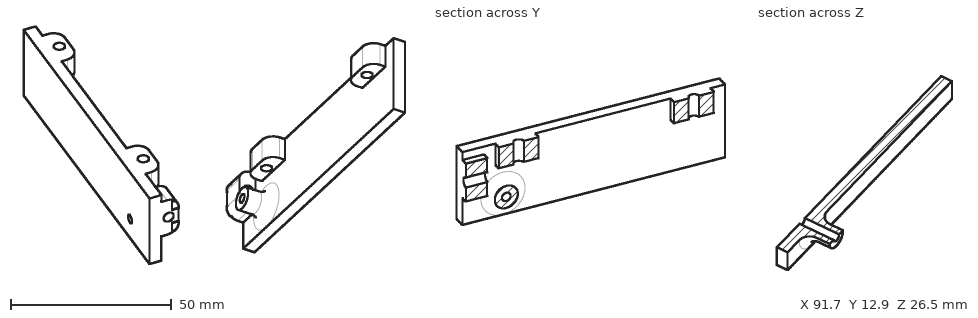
import cadquery as cq

plate_length = 91.4
plate_thickness = 4.1
plate_height = 26.5

lug_width = 13.9
lug_reach = 10.0
lug_depth = 7.8
lug_corner_radius = 3.9
lug_hole_diameter = 3.5
lug_hole_y = 6.6
top_lug_centers_x = (12.0, 73.0)
side_lug_center_z = 16.7
side_lug_end_x = 91.7

pad_thickness = side_lug_end_x - plate_length
pad_start_y = 7.7
pad_height = 3.3
pad_offset_z = 4.3

boss_diameter = 7.5
boss_end_y = 12.9
boss_flare_radius = 3.9
boss_hole_diameter = 2.8
boss_x = 77.3
boss_z = boss_diameter / 2 + boss_flare_radius


def make_lug():
    """Lug centred on X = 0, rounded at its free corners, extending down from Z = 0."""
    block = (
        cq.Workplane("XY")
        .box(lug_width, lug_reach, lug_depth, centered=(True, False, False))
        .faces(">Y").edges("|Z").fillet(lug_corner_radius)
    )
    hole = cq.Workplane("XY").center(0, lug_hole_y).circle(lug_hole_diameter / 2).extrude(lug_depth)
    return block.cut(hole).translate((0, 0, -lug_depth))


def make_boss():
    """Boss turned about the Y axis, flaring out to meet the back of the plate."""
    radius = boss_diameter / 2
    flare_center_x = radius + boss_flare_radius
    flare_top_y = plate_thickness + boss_flare_radius
    flare_offset = boss_flare_radius / 2**0.5
    profile = (
        cq.Workplane("XY")
        .lineTo(flare_center_x, 0)
        .lineTo(flare_center_x, plate_thickness)
        .threePointArc(
            (flare_center_x - flare_offset, flare_top_y - flare_offset),
            (radius, flare_top_y),
        )
        .lineTo(radius, boss_end_y)
        .lineTo(0, boss_end_y)
        .close()
    )
    return profile.revolve(360, (0, 0, 0), (0, 1, 0)).translate((boss_x, 0, boss_z))


result = cq.Workplane("XY").box(plate_length, plate_thickness, plate_height, centered=False)
result = result.union(make_boss())

for center_x in top_lug_centers_x:
    result = result.union(make_lug().translate((center_x, 0, plate_height)))

side_lug = make_lug().rotate((0, 0, 0), (0, 1, 0), 90)
side_lug = side_lug.translate((side_lug_end_x, 0, side_lug_center_z))

end_trim = (
    cq.Workplane("XY", origin=(plate_length, 0, 0))
    .box(pad_thickness, lug_reach, plate_height, centered=False)
)
for side in (-1, 1):
    pad_z = side_lug_center_z + side * pad_offset_z
    pad = (
        cq.Workplane("XY", origin=(plate_length, pad_start_y, pad_z))
        .box(pad_thickness, lug_reach - pad_start_y, pad_height, centered=(False, False, True))
    )
    end_trim = end_trim.cut(pad)
result = result.union(side_lug.cut(end_trim))

boss_hole = (
    cq.Workplane("XZ", origin=(boss_x, 0, boss_z))
    .circle(boss_hole_diameter / 2)
    .extrude(-boss_end_y)
)
result = result.cut(boss_hole)